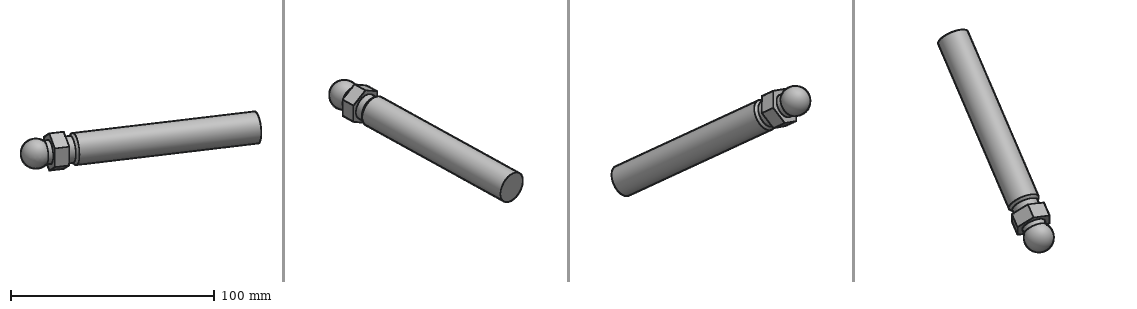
import cadquery as cq
import math

ball_diameter = 15.0
neck_diameter = 12.0
hex_across_flats = 17.0
hex_sides = 6
undercut_diameter = 13.55
shank_diameter = 16.0

overall_length = 122.0
shank_length = 94.5
taper_length = 1.5
undercut_length = 4.0
hex_length = 7.5

ball_radius = ball_diameter / 2
neck_radius = neck_diameter / 2
undercut_radius = undercut_diameter / 2
shank_radius = shank_diameter / 2
ball_tip_y = -ball_radius
ball_neck_y = math.sqrt(ball_radius**2 - neck_radius**2)
shank_end_y = ball_tip_y + overall_length
shank_start_y = shank_end_y - shank_length
taper_start_y = shank_start_y - taper_length
hex_back_y = taper_start_y - undercut_length
hex_front_y = hex_back_y - hex_length


def turned_body():
    """Ball, neck, undercut and shank revolved about the Y axis."""
    profile = (
        cq.Workplane("XY")
        .moveTo(0, ball_tip_y)
        .threePointArc((ball_radius, 0), (neck_radius, ball_neck_y))
        .lineTo(neck_radius, hex_front_y)
        .lineTo(undercut_radius, hex_front_y)
        .lineTo(undercut_radius, taper_start_y)
        .lineTo(shank_radius, shank_start_y)
        .lineTo(shank_radius, shank_end_y)
        .lineTo(0, shank_end_y)
        .close()
    )
    return profile.revolve(360, (0, 0, 0), (0, 1, 0))


def hex_collar():
    """Hexagonal wrench collar with its corners pointing up and down in Z."""
    across_corners = hex_across_flats / math.cos(math.pi / hex_sides)
    return (
        cq.Workplane("XZ", origin=(0, hex_back_y, 0))
        .transformed(rotate=(0, 0, 90))
        .polygon(hex_sides, across_corners)
        .extrude(hex_length)
    )


result = turned_body().union(hex_collar())